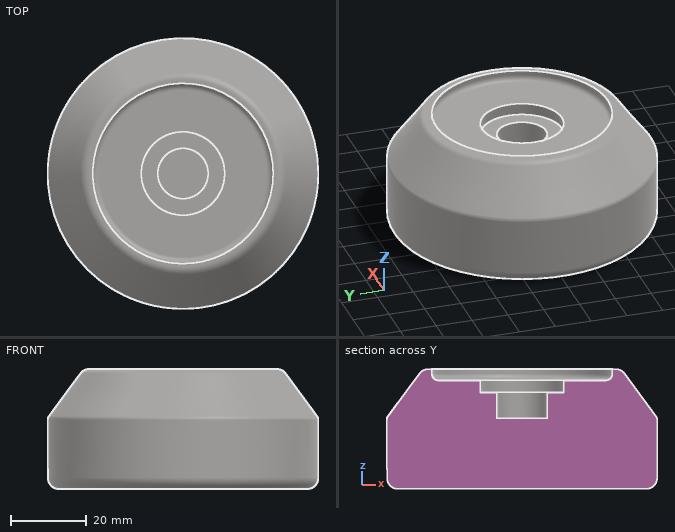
import cadquery as cq

outer_radius = 36.0
height = 32.0
rim_radius = 26.4
cone_base_height = 18.9
bottom_fillet = 3.0
shoulder_fillet = 1.45
rim_fillet = 2.8

recess_radius = 24.0
recess_depth = 3.0
recess_fillet = 1.7

counterbore_radius = 11.1
counterbore_depth = 3.25
bore_radius = 6.7
bore_depth = 6.85


def body():
    """Cylinder with a conical upper part and rounded outer edges."""
    profile = (
        cq.Workplane("XZ")
        .lineTo(outer_radius, 0)
        .lineTo(outer_radius, cone_base_height)
        .lineTo(rim_radius, height)
        .lineTo(0, height)
        .close()
    )
    solid = profile.revolve(360, (0, 0, 0), (0, 1, 0))
    solid = solid.faces("<Z").edges().fillet(bottom_fillet)
    solid = solid.faces(">Z").edges().fillet(rim_fillet)
    return solid.faces("%CONE").edges("%CIRCLE").edges("<Z").fillet(shoulder_fillet)


def hole(radius, top, depth):
    """Blind round cutter going down from the given height."""
    return cq.Workplane("XY", origin=(0, 0, top - depth)).circle(radius).extrude(depth)


def recess():
    """Shallow round pocket cutter with a rounded floor corner."""
    return hole(recess_radius, height, recess_depth).faces("<Z").edges().fillet(recess_fillet)


recess_floor = height - recess_depth
counterbore_floor = recess_floor - counterbore_depth
result = (
    body()
    .cut(recess())
    .cut(hole(counterbore_radius, recess_floor, counterbore_depth))
    .cut(hole(bore_radius, counterbore_floor, bore_depth))
)